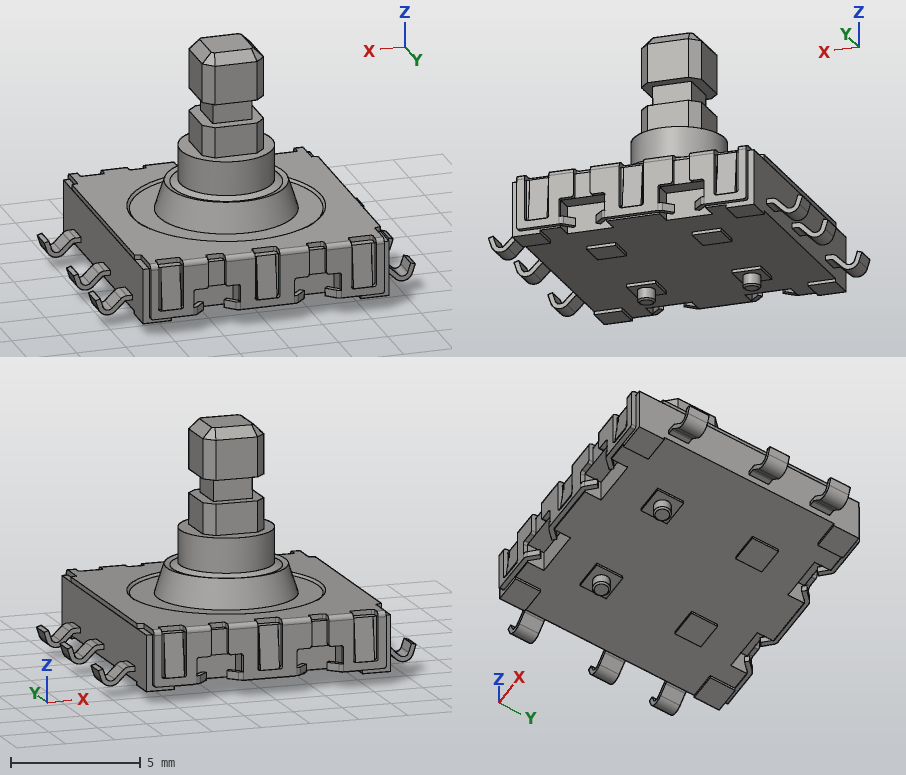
import cadquery as cq
import math


HOUSING_LENGTH_X = 10.0
HOUSING_WIDTH_Y = 10.1
HOUSING_TOP_Z = 2.26
FOOT_HEIGHT = 0.13
CORNER_FOOT_SIZE = 1.15
PAD_SIZE = 1.2
PAD_DRAFT_ANGLE = 4
PIN_DIA = 0.7
PIN_LENGTH = 0.5
PIN_CHAMFER = 0.07
PIN_OFFSET = 2.18

SHEET = 0.2
FLAP_BOTTOM_Z = 0.2
FLAP_HALF_LENGTH = 4.75
FLAP_CORNER_RADIUS = 0.1
CORNER_NOTCH_LENGTH = 1.02
NOTCH_SLANT = 0.08
DISH_TOP_RADIUS = 3.85
DISH_DEPTH = 0.1

WINDOW_OFFSET = 3.92
WINDOW_WIDTH = 1.0
WINDOW_BOTTOM_Z = 0.52
WINDOW_TOP_REACH = 0.53
CATCH_OFFSET = 3.89
CATCH_WIDTH = 0.78
CATCH_PROJECTION = 0.17

TEE_OFFSET = 2.05
TEE_STEM_WIDTH = 0.7
TEE_STEM_TOP_REACH = 0.45
TEE_HEAD_WIDTH = 1.9
TEE_HEAD_TOP_Z = 1.25
TEE_RECESS_DEPTH = 0.75
HOOK_TOP_Z = 0.52
HOOK_BEND_RADIUS = 0.24
HOOK_REACH = 0.53
OPENING_RADIUS = 0.1

DOME_BORE_DIA = 4.37
DOME_TOP_RADIUS = 2.41
DOME_BASE_RADIUS = 2.79
DOME_MID_RADIUS = 2.61
DOME_TOP_Z = 3.53
DOME_RIM_DROP = 0.05

STEM_CYLINDER_DIA = 3.75
STEM_CYLINDER_BOTTOM_Z = 3.6
STEM_CYLINDER_TOP_Z = 5.0
STEM_SQUARE = 2.5
STEM_CHAMFER = 0.4
KNOB_TOP_CORNER = 0.1
NECK_SQUARE = 1.6
NECK_BOTTOM_Z = 6.25
NECK_TOP_Z = 7.2
STEM_TOP_Z = 9.2

TERMINAL_WIDTH = 0.9
TERMINAL_THICKNESS = 0.2
TERMINAL_Y_POSITIONS = (-3.25, 0.45, 3.25)
TERMINAL_EXIT_Z = 0.6
TERMINAL_SHOULDER_X = 5.325
TERMINAL_SHOULDER_RADIUS = 0.14
TERMINAL_VALLEY_Z = -0.17
TERMINAL_VALLEY_RADIUS = 0.22
TERMINAL_TIP_X = 6.5
TERMINAL_TIP_ANGLE = math.radians(72)

HALF_X = HOUSING_LENGTH_X / 2
HALF_Y = HOUSING_WIDTH_Y / 2
COVER_TOP_Z = HOUSING_TOP_Z + SHEET
COVER_HALF_Y = HALF_Y + SHEET
DISH_FLOOR_Z = COVER_TOP_Z - DISH_DEPTH
DISH_FLOOR_RADIUS = DISH_TOP_RADIUS - DISH_DEPTH
BORE_RADIUS = DOME_BORE_DIA / 2
DOME_LIP_Z = DOME_TOP_Z - DOME_RIM_DROP


def box(x_min, x_max, y_min, y_max, z_min, z_max):
    return (
        cq.Workplane("XY")
        .box(x_max - x_min, y_max - y_min, z_max - z_min, centered=False)
        .translate((x_min, y_min, z_min))
    )


def centered_box(x_center, width, y_min, y_max, z_min, z_max):
    return box(x_center - width / 2, x_center + width / 2, y_min, y_max, z_min, z_max)


def on_both_long_sides(shape):
    """The features of the -Y side together with their mirror image on the +Y side."""
    return shape.union(shape.mirror("XZ"))


def make_catch(x_center):
    """Latch wedge: flush with the wall at the top, projecting at the bottom."""
    return (
        cq.Workplane("YZ")
        .moveTo(-HALF_Y, HOUSING_TOP_Z)
        .lineTo(-HALF_Y - CATCH_PROJECTION, WINDOW_BOTTOM_Z)
        .lineTo(-HALF_Y, WINDOW_BOTTOM_Z)
        .close()
        .extrude(CATCH_WIDTH / 2, both=True)
        .translate((x_center, 0, 0))
    )


def make_housing():
    body = box(-HALF_X, HALF_X, -HALF_Y, HALF_Y, FOOT_HEIGHT, HOUSING_TOP_Z)
    recess_back_y = -HALF_Y + TEE_RECESS_DEPTH

    for x_sign in (-1, 1):
        for y_sign in (-1, 1):
            corner_foot = cq.Workplane("XY").box(
                CORNER_FOOT_SIZE, CORNER_FOOT_SIZE, FOOT_HEIGHT, centered=(True, True, False)
            )
            body = body.union(
                corner_foot.translate(
                    (x_sign * (HALF_X - CORNER_FOOT_SIZE / 2), y_sign * (HALF_Y - CORNER_FOOT_SIZE / 2), 0)
                )
            )
            pad = cq.Workplane("XY").rect(PAD_SIZE, PAD_SIZE).extrude(FOOT_HEIGHT, taper=PAD_DRAFT_ANGLE)
            body = body.union(pad.translate((x_sign * PIN_OFFSET, y_sign * PIN_OFFSET, 0)))

        locating_pin = (
            cq.Workplane("XY")
            .circle(PIN_DIA / 2)
            .extrude(-PIN_LENGTH)
            .faces("<Z")
            .chamfer(PIN_CHAMFER)
        )
        body = body.union(locating_pin.translate((x_sign * PIN_OFFSET, -PIN_OFFSET, 0)))

        tee_recess = centered_box(
            x_sign * TEE_OFFSET, TEE_HEAD_WIDTH, -HALF_Y, recess_back_y, FOOT_HEIGHT, TEE_HEAD_TOP_Z
        )
        body = body.cut(on_both_long_sides(tee_recess))

    for x_center in (-CATCH_OFFSET, 0, CATCH_OFFSET):
        body = body.union(on_both_long_sides(make_catch(x_center)))
    return body


def make_opening(x_center, width, top_reach, bottom_z):
    """Cut through a flap and over its bend, ending on the top plate."""
    y_outer = -COVER_HALF_Y
    y_inner = y_outer + top_reach
    flap_cut = centered_box(x_center, width, y_outer, -HALF_Y, bottom_z, COVER_TOP_Z)
    flap_cut = flap_cut.edges("|Y and <Z").fillet(OPENING_RADIUS)
    plate_cut = centered_box(x_center, width, y_outer, y_inner, HOUSING_TOP_Z, COVER_TOP_Z)
    plate_cut = plate_cut.edges("|Z and >Y").fillet(OPENING_RADIUS)
    return flap_cut.union(plate_cut)


def make_tee_opening(x_center):
    stem = make_opening(x_center, TEE_STEM_WIDTH, TEE_STEM_TOP_REACH, TEE_HEAD_TOP_Z - OPENING_RADIUS)
    head = centered_box(x_center, TEE_HEAD_WIDTH, -COVER_HALF_Y, -HALF_Y, FLAP_BOTTOM_Z, TEE_HEAD_TOP_Z)
    head = head.edges("|Y and >Z").fillet(OPENING_RADIUS)
    opening = stem.union(head)
    for side in (-1, 1):
        junction = (x_center + side * TEE_STEM_WIDTH / 2, -HALF_Y - SHEET / 2, TEE_HEAD_TOP_Z)
        opening = opening.edges(cq.selectors.NearestToPointSelector(junction)).fillet(OPENING_RADIUS)
    return opening


def make_hook(x_center, side):
    """Tab at one edge of a T opening, bent 45 degrees into the housing recess."""
    edge_x = x_center + side * TEE_HEAD_WIDTH / 2
    inner_radius = HOOK_BEND_RADIUS - SHEET
    bend_center_y = -COVER_HALF_Y + HOOK_BEND_RADIUS
    diagonal = math.sin(math.pi / 4)
    straight_run = HOOK_REACH - HOOK_BEND_RADIUS * diagonal

    def on_bend(radius, angle):
        return edge_x - side * radius * math.sin(angle), bend_center_y - radius * math.cos(angle)

    def past_bend(radius):
        x, y = on_bend(radius, math.pi / 4)
        return x - side * straight_run, y + straight_run

    return (
        cq.Workplane("XY", origin=(0, 0, FLAP_BOTTOM_Z))
        .moveTo(edge_x, -COVER_HALF_Y)
        .threePointArc(on_bend(HOOK_BEND_RADIUS, math.pi / 8), on_bend(HOOK_BEND_RADIUS, math.pi / 4))
        .lineTo(*past_bend(HOOK_BEND_RADIUS))
        .lineTo(*past_bend(inner_radius))
        .lineTo(*on_bend(inner_radius, math.pi / 4))
        .threePointArc(on_bend(inner_radius, math.pi / 8), on_bend(inner_radius, 0))
        .close()
        .extrude(HOOK_TOP_Z - FLAP_BOTTOM_Z)
    )


def make_cover():
    notch_y = HALF_Y - CORNER_NOTCH_LENGTH
    plate_end = [
        (FLAP_HALF_LENGTH, -notch_y),
        (HALF_X, -notch_y + NOTCH_SLANT),
        (HALF_X, notch_y - NOTCH_SLANT),
        (FLAP_HALF_LENGTH, notch_y),
    ]
    opposite_end = [(-x, -y) for x, y in plate_end]
    plate = (
        cq.Workplane("XY", origin=(0, 0, HOUSING_TOP_Z))
        .polyline(plate_end + opposite_end)
        .close()
        .extrude(SHEET)
    )
    folded = box(-FLAP_HALF_LENGTH, FLAP_HALF_LENGTH, -COVER_HALF_Y, COVER_HALF_Y, FLAP_BOTTOM_Z, COVER_TOP_Z)
    folded = folded.edges("|Y and <Z").fillet(FLAP_CORNER_RADIUS)
    folded = folded.edges("|X and >Z").fillet(SHEET)
    folded = folded.cut(box(-HALF_X, HALF_X, -HALF_Y, HALF_Y, 0, HOUSING_TOP_Z))
    cover = plate.union(folded)

    for x_center in (-WINDOW_OFFSET, 0, WINDOW_OFFSET):
        window = make_opening(x_center, WINDOW_WIDTH, WINDOW_TOP_REACH, WINDOW_BOTTOM_Z)
        cover = cover.cut(on_both_long_sides(window))

    for x_center in (-TEE_OFFSET, TEE_OFFSET):
        cover = cover.cut(on_both_long_sides(make_tee_opening(x_center)))
        for side in (-1, 1):
            cover = cover.union(on_both_long_sides(make_hook(x_center, side)))

    dish = (
        cq.Workplane("XZ")
        .moveTo(0, DISH_FLOOR_Z)
        .lineTo(DISH_FLOOR_RADIUS, DISH_FLOOR_Z)
        .lineTo(DISH_TOP_RADIUS, COVER_TOP_Z)
        .lineTo(0, COVER_TOP_Z)
        .close()
        .revolve(360, (0, 0), (0, 1))
    )
    stem_hole = cq.Workplane("XY", origin=(0, 0, HOUSING_TOP_Z)).circle(BORE_RADIUS).extrude(SHEET)
    return cover.cut(dish).cut(stem_hole)


def make_dome():
    """Ring with a bulging conical outside and a rim that dips toward the bore."""
    return (
        cq.Workplane("XZ")
        .moveTo(BORE_RADIUS, DISH_FLOOR_Z)
        .lineTo(DOME_BASE_RADIUS, DISH_FLOOR_Z)
        .threePointArc((DOME_MID_RADIUS, (DISH_FLOOR_Z + DOME_TOP_Z) / 2), (DOME_TOP_RADIUS, DOME_TOP_Z))
        .lineTo(BORE_RADIUS, DOME_LIP_Z)
        .close()
        .revolve(360, (0, 0), (0, 1))
    )


def square_bar(size, z_min, z_max):
    return cq.Workplane("XY", origin=(0, 0, z_min)).rect(size, size).extrude(z_max - z_min)


def cut_corner_square(size, corner):
    half = size / 2
    inner = half - corner
    return [
        (half, -inner),
        (half, inner),
        (inner, half),
        (-inner, half),
        (-half, inner),
        (-half, -inner),
        (-inner, -half),
        (inner, -half),
    ]


def make_stem():
    round_base = (
        cq.Workplane("XZ")
        .moveTo(0, HOUSING_TOP_Z)
        .lineTo(BORE_RADIUS, HOUSING_TOP_Z)
        .lineTo(BORE_RADIUS, DOME_LIP_Z)
        .lineTo(STEM_CYLINDER_DIA / 2, STEM_CYLINDER_BOTTOM_Z)
        .lineTo(STEM_CYLINDER_DIA / 2, STEM_CYLINDER_TOP_Z)
        .lineTo(0, STEM_CYLINDER_TOP_Z)
        .close()
        .revolve(360, (0, 0), (0, 1))
    )
    lower_block = square_bar(STEM_SQUARE, STEM_CYLINDER_TOP_Z, NECK_BOTTOM_Z)
    lower_block = lower_block.edges("|Z").chamfer(STEM_CHAMFER)
    neck = square_bar(NECK_SQUARE, NECK_BOTTOM_Z, NECK_TOP_Z)
    knob = square_bar(STEM_SQUARE, NECK_TOP_Z, STEM_TOP_Z - STEM_CHAMFER)
    knob = knob.edges("|Z").chamfer(STEM_CHAMFER)
    knob_top = (
        cq.Workplane("XY", origin=(0, 0, STEM_TOP_Z - STEM_CHAMFER))
        .polyline(cut_corner_square(STEM_SQUARE, STEM_CHAMFER))
        .close()
        .workplane(offset=STEM_CHAMFER)
        .polyline(cut_corner_square(STEM_SQUARE - 2 * STEM_CHAMFER, KNOB_TOP_CORNER))
        .close()
        .loft(ruled=True)
    )
    return round_base.union(lower_block).union(neck).union(knob).union(knob_top)


def offset_path(path, distance):
    """Mitred parallel of an open path, shifted to the left of its direction."""
    angles = [math.atan2(end[1] - start[1], end[0] - start[0]) for start, end in zip(path, path[1:])]
    before = [angles[0]] + angles
    after = angles + [angles[-1]]
    shifted = []
    for (x, z), angle_in, angle_out in zip(path, before, after):
        normal = (angle_in + angle_out + math.pi) / 2
        length = distance / math.cos((angle_out - angle_in) / 2)
        shifted.append((x + length * math.cos(normal), z + length * math.sin(normal)))
    return shifted


def make_terminal(y_center):
    """Gull-wing lead leaving the +X wall."""
    half = TERMINAL_THICKNESS / 2
    top_z = TERMINAL_EXIT_Z + half
    tip_x = TERMINAL_TIP_X - half * math.sin(TERMINAL_TIP_ANGLE)
    tip_z = top_z - half * math.cos(TERMINAL_TIP_ANGLE)
    valley_x = tip_x - (tip_z - TERMINAL_VALLEY_Z) / math.tan(TERMINAL_TIP_ANGLE)
    path = [
        (HALF_X, TERMINAL_EXIT_Z),
        (TERMINAL_SHOULDER_X, TERMINAL_EXIT_Z),
        (valley_x, TERMINAL_VALLEY_Z),
        (tip_x, tip_z),
    ]
    upper = offset_path(path, half)
    lower = offset_path(path, -half)
    strip = cq.Workplane("XZ").polyline(upper + lower[::-1]).close().extrude(TERMINAL_WIDTH / 2, both=True)

    bends = [
        (lower[1], TERMINAL_SHOULDER_RADIUS),
        (upper[1], TERMINAL_SHOULDER_RADIUS + TERMINAL_THICKNESS),
        (upper[2], TERMINAL_VALLEY_RADIUS),
        (lower[2], TERMINAL_VALLEY_RADIUS + TERMINAL_THICKNESS),
    ]
    for (x, z), radius in bends:
        strip = strip.edges(cq.selectors.NearestToPointSelector((x, 0, z))).fillet(radius)
    return strip.translate((0, y_center, 0))


housing = make_housing()
cover = make_cover()
dome = make_dome()
stem = make_stem()
terminals = []
for y_position in TERMINAL_Y_POSITIONS:
    right_terminal = make_terminal(y_position)
    terminals.append(right_terminal.val())
    terminals.append(right_terminal.mirror("YZ").val())

result = cq.Compound.makeCompound([housing.val(), cover.val(), dome.val(), stem.val(), *terminals])